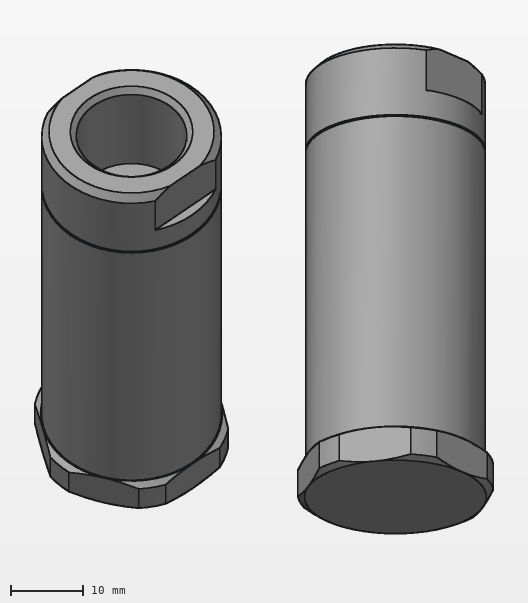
import cadquery as cq
import math

total_height = 63.0
barrel_diameter = 24.7
barrel_radius = barrel_diameter / 2

foot_height = 5.1
foot_across_flats = 25.0
foot_corner_diameter = 26.95
foot_chamfer_angle = 30.0

head_height = 11.0
head_chamfer = 1.0
flat_spacing = 22.0
flat_height = 7.0

groove_width = 0.2
groove_depth = 0.1

bore_diameter = 15.2
bore_depth = 15.0
bore_chamfer = 0.8


def make_foot():
    """Hexagonal nut shape with turned corners and both rims chamfered."""
    corner_radius = foot_corner_diameter / 2
    rim_radius = foot_across_flats / 2
    chamfer_drop = (corner_radius - rim_radius) * math.tan(math.radians(foot_chamfer_angle))
    hexagon_diameter = foot_across_flats / math.cos(math.radians(30))
    hexagon = (
        cq.Workplane("XY")
        .transformed(rotate=(0, 0, 90))
        .polygon(6, hexagon_diameter)
        .extrude(foot_height)
    )
    turned_blank = (
        cq.Workplane("XZ")
        .moveTo(0, 0)
        .lineTo(rim_radius, 0)
        .lineTo(corner_radius, chamfer_drop)
        .lineTo(corner_radius, foot_height - chamfer_drop)
        .lineTo(rim_radius, foot_height)
        .lineTo(0, foot_height)
        .close()
        .revolve(360, (0, 0, 0), (0, 1, 0))
    )
    return hexagon.intersect(turned_blank)


def make_barrel():
    """Round barrel and head in one cylinder, with a chamfered upper rim."""
    return (
        cq.Workplane("XY")
        .circle(barrel_radius)
        .extrude(total_height)
        .faces(">Z")
        .chamfer(head_chamfer)
    )


def make_groove():
    """Ring that cuts the joint groove just below the head."""
    bottom = total_height - head_height - groove_width
    return (
        cq.Workplane("XY", origin=(0, 0, bottom))
        .circle(barrel_radius + groove_depth)
        .circle(barrel_radius - groove_depth)
        .extrude(groove_width)
    )


def make_flat_cutter(side):
    """Block that mills a wrench flat on the +X (1) or -X (-1) side of the head."""
    cutter_thickness = barrel_radius
    center_x = side * (flat_spacing + cutter_thickness) / 2
    return cq.Workplane("XY", origin=(center_x, 0, total_height - flat_height)).box(
        cutter_thickness, barrel_diameter, flat_height, centered=(True, True, False)
    )


def make_bore():
    """Blind bore with a 45 degree lead-in at the top."""
    bore_radius = bore_diameter / 2
    return (
        cq.Workplane("XZ")
        .moveTo(0, total_height)
        .lineTo(bore_radius + bore_chamfer, total_height)
        .lineTo(bore_radius, total_height - bore_chamfer)
        .lineTo(bore_radius, total_height - bore_depth)
        .lineTo(0, total_height - bore_depth)
        .close()
        .revolve(360, (0, 0, 0), (0, 1, 0))
    )


result = make_barrel().union(make_foot())
result = result.cut(make_groove())
for side in (-1, 1):
    result = result.cut(make_flat_cutter(side))
result = result.cut(make_bore())